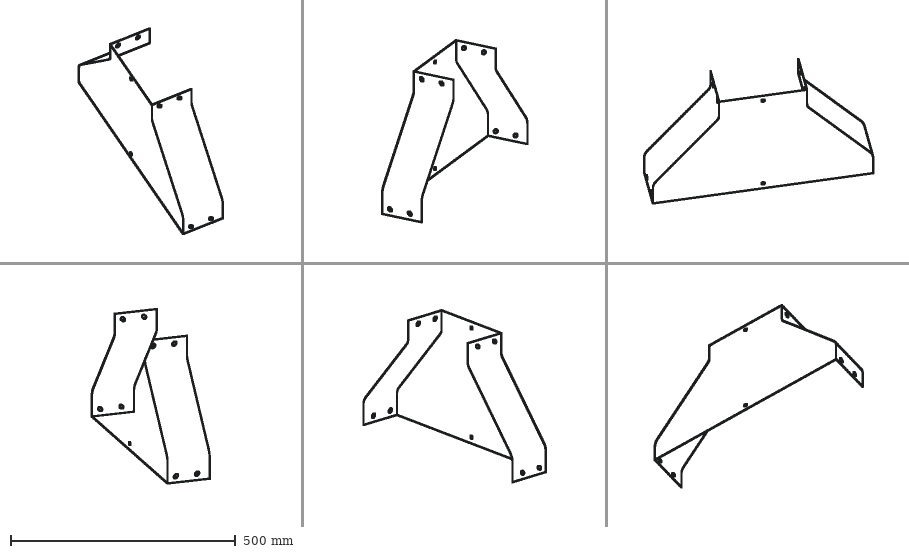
import cadquery as cq
import math

wide_width = 500.0
narrow_width = 200.0
height = 288.0
depth = 100.0
thickness = 0.8

lower_corner_z = 58.7
upper_corner_z = 236.65
lower_bend_radius = 30.0
upper_bend_radius = 20.0

end_distance = 15.0
plate_hole_diameter = 7.0
slot_depths = (20.0, 70.0)
slot_width = 7.0
slot_length = 10.5
slot_tilt = 45.0

fixing_heights = (end_distance, height - end_distance)
slope_run = (wide_width - narrow_width) / 2
slope_angle = math.atan2(slope_run, upper_corner_z - lower_corner_z)


def bend_points(corner_x, corner_z, radius, straight_below):
    """Start, middle and end, going up, of a bend between a vertical straight and the slope."""
    turn = 1 if straight_below else -1
    tangent = radius * math.tan(slope_angle / 2)

    def point_at(angle):
        inward = radius * (1 - math.cos(angle))
        rise = radius * math.sin(angle) - tangent
        return corner_x - turn * inward, corner_z + turn * rise

    points = [point_at(0), point_at(slope_angle / 2), point_at(slope_angle)]
    return points if straight_below else points[::-1]


def outline(inset):
    """Symmetric closed XZ outline lying `inset` inside the outer wall faces."""
    half_wide = wide_width / 2 - inset
    half_narrow = narrow_width / 2 - inset
    corner_drop = inset * math.tan(slope_angle / 2)
    lower_bend = bend_points(half_wide, lower_corner_z - corner_drop, lower_bend_radius - inset, True)
    upper_bend = bend_points(half_narrow, upper_corner_z - corner_drop, upper_bend_radius + inset, False)

    sketch = cq.Workplane("XZ").moveTo(0, 0).lineTo(half_wide, 0)
    for start, middle, end in (lower_bend, upper_bend):
        sketch = sketch.lineTo(*start).threePointArc(middle, end)
    return sketch.lineTo(half_narrow, height).lineTo(0, height).mirrorY()


def channel():
    """Front plate with a cranked wall along each side, open at the top, bottom and back."""
    body = outline(0).extrude(-depth)
    hollow = outline(thickness).extrude(-depth).translate((0, thickness, 0))
    return body.cut(hollow)


def plate_holes():
    """Cutters for the two holes on the centreline of the plate."""
    centres = [(0, z) for z in fixing_heights]
    return cq.Workplane("XZ").pushPoints(centres).circle(plate_hole_diameter / 2).extrude(-thickness)


def wall_slots(side):
    """Cutters for the four slots in one wall; `side` is -1 for the -X wall and 1 for the +X wall.

    The slots slope down towards the plate in the -X wall and up towards it in the +X wall.
    """
    centres = [(y, z) for y in slot_depths for z in fixing_heights]
    return (
        cq.Workplane("YZ")
        .pushPoints(centres)
        .slot2D(slot_length, slot_width, -side * slot_tilt)
        .extrude(side * wide_width / 2)
    )


result = channel().cut(plate_holes())
for wall_side in (-1, 1):
    result = result.cut(wall_slots(wall_side))